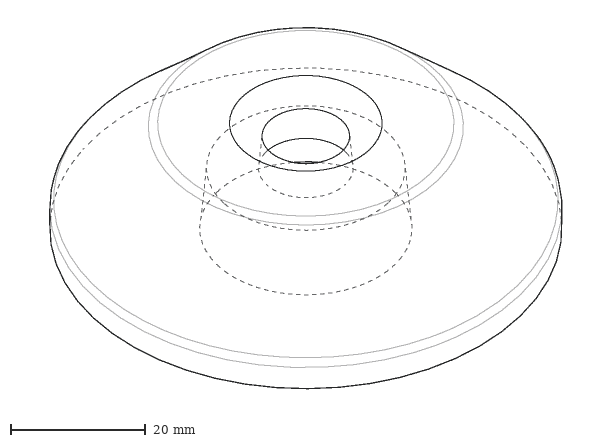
import cadquery as cq
import math

base_diameter = 76.0
height = 20.0

rim_height = 4.9
top_diameter = 45.6
edge_fillet = 2.0

seat_diameter = 22.65
seat_sphere_radius = 20.0
hole_diameter = 13.0

bore_diameter = 29.5
roof_thickness = 8.5

draft_angle = 5.0

base_radius = base_diameter / 2
top_radius = top_diameter / 2
seat_radius = seat_diameter / 2
hole_radius = hole_diameter / 2
bore_radius = bore_diameter / 2

seat_center_z = height + math.sqrt(seat_sphere_radius**2 - seat_radius**2)
hole_top_z = seat_center_z - math.sqrt(seat_sphere_radius**2 - hole_radius**2)
roof_z = height - roof_thickness
draft_slope = math.tan(math.radians(draft_angle))


def revolve_profile(points):
    """Revolve a closed (radius, z) outline around the Z axis."""
    return cq.Workplane("XZ").polyline(points).close().revolve(360, (0, 0, 0), (0, 1, 0))


def make_body():
    """Rim and cone, with the two edges above the base rounded."""
    body = revolve_profile([
        (0, 0),
        (base_radius, 0),
        (base_radius, rim_height),
        (top_radius, height),
        (0, height),
    ])
    return body.edges("%CIRCLE").edges("not <Z").fillet(edge_fillet)


def make_seat():
    """Sphere that leaves the shallow seat in the top face."""
    return cq.Workplane("XY").sphere(seat_sphere_radius).translate((0, 0, seat_center_z))


def make_hole_and_bore():
    """Drafted hole below the seat, opening into the wider drafted bore."""
    hole_end_radius = hole_radius + (hole_top_z - roof_z) * draft_slope
    bore_end_radius = bore_radius + roof_z * draft_slope
    return revolve_profile([
        (0, 0),
        (bore_end_radius, 0),
        (bore_radius, roof_z),
        (hole_end_radius, roof_z),
        (hole_radius, hole_top_z),
        (0, hole_top_z),
    ])


result = make_body().cut(make_seat()).cut(make_hole_and_bore())